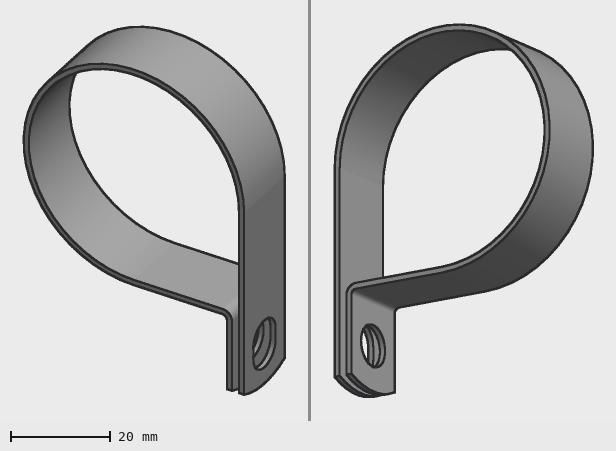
import cadquery as cq
import math

loop_diameter = 51.64
strip_width = 15.88
strip_thickness = 1.24
overall_height = 70.99
leg_gap = 1.58
bend_inner_radius = 1.1
hole_diameter = 8.73
slot_width = hole_diameter
slot_height = 11.2
hole_edge_distance = 9.53
tip_sagitta = 1.73

outer_radius = loop_diameter / 2
inner_radius = outer_radius - strip_thickness
tip_z = outer_radius - overall_height
short_leg_outer_x = inner_radius - leg_gap
short_leg_inner_x = short_leg_outer_x - strip_thickness
bend_outer_radius = bend_inner_radius + strip_thickness
hole_z = tip_z + hole_edge_distance
half_width = strip_width / 2


def bent_strip():
    """Loop, flat bottom and two parallel legs, extruded across the strip width."""
    outer_diagonal = outer_radius * math.sqrt(0.5)
    inner_diagonal = inner_radius * math.sqrt(0.5)
    bend_x = short_leg_inner_x - bend_inner_radius
    bend_z = -outer_radius - bend_inner_radius
    profile = (
        cq.Workplane("XZ")
        .moveTo(outer_radius, tip_z)
        .lineTo(outer_radius, 0)
        .threePointArc((-outer_diagonal, outer_diagonal), (0, -outer_radius))
        .lineTo(bend_x, -outer_radius)
        .radiusArc((short_leg_inner_x, bend_z), bend_inner_radius)
        .lineTo(short_leg_inner_x, tip_z)
        .lineTo(short_leg_outer_x, tip_z)
        .lineTo(short_leg_outer_x, bend_z)
        .radiusArc((bend_x, bend_z + bend_outer_radius), -bend_outer_radius)
        .lineTo(0, -inner_radius)
        .threePointArc((-inner_diagonal, inner_diagonal), (inner_radius, 0))
        .lineTo(inner_radius, tip_z)
        .close()
    )
    return profile.extrude(half_width, both=True)


def leg_end_trim():
    """Waste below the shallow arc of the leg ends, running along X under both legs."""
    corner_z = tip_z + tip_sagitta
    waste_z = tip_z - tip_sagitta
    return (
        cq.Workplane("YZ")
        .moveTo(-half_width, corner_z)
        .threePointArc((0, tip_z), (half_width, corner_z))
        .lineTo(half_width, waste_z)
        .lineTo(-half_width, waste_z)
        .close()
        .extrude(loop_diameter)
    )


def short_leg_hole():
    """Round hole along X through the short leg only."""
    return (
        cq.Workplane("YZ", origin=(short_leg_inner_x, 0, hole_z))
        .circle(hole_diameter / 2)
        .extrude(strip_thickness)
    )


def long_leg_slot():
    """Upright slot along X through the long leg only, level with the round hole."""
    return (
        cq.Workplane("YZ", origin=(inner_radius, 0, hole_z))
        .slot2D(slot_height, slot_width, 90)
        .extrude(strip_thickness)
    )


result = bent_strip().cut(leg_end_trim()).cut(short_leg_hole()).cut(long_leg_slot())